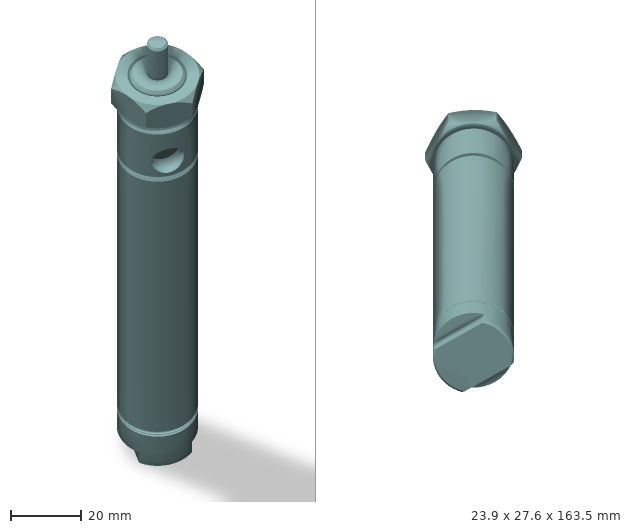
import cadquery as cq
import math

TOTAL_LENGTH = 163.5

BODY_RADIUS = 11.6
BODY_TOP = 138.0
BASE_CHAMFER = 0.7
SHOULDER_CHAMFER = 0.5

TOOTH_SIZE = 1.0
TEETH_PER_GROOVE = 2
FRONT_GROOVE_BOTTOM = 118.1
REAR_GROOVE_BOTTOM = 12.8

FLATS_ACROSS = 15.5
FLATS_HEIGHT = 4.9

PORT_RADIUS = 4.9
PORT_HEIGHT = 126.3
PORT_DEPTH = 5.7

NECK_RADIUS = 16.2 / 2
NECK_TOP = 151.0
NECK_CHAMFER = 1.0

NUT_ACROSS_FLATS = 23.9
NUT_BOTTOM = 140.5
NUT_THICKNESS = 9.7
NUT_MOUTH_CHAMFER = 0.5

ROD_RADIUS = 6.0 / 2
ROD_CHAMFER = 0.7
ROD_BOTTOM = FRONT_GROOVE_BOTTOM


def cylinder(radius, bottom, top):
    """Upright cylinder on the Z axis."""
    return cq.Workplane("XY").workplane(offset=bottom).circle(radius).extrude(top - bottom)


def tooth_cutter(ledge_height, slope_end_height):
    """Ring of triangular section, cut square at the ledge and running out at the slope end."""
    return (
        cq.Workplane("XZ")
        .moveTo(BODY_RADIUS, ledge_height)
        .lineTo(BODY_RADIUS - TOOTH_SIZE, ledge_height)
        .lineTo(BODY_RADIUS, slope_end_height)
        .close()
        .revolve(360, (0, 0, 0), (0, 1, 0))
    )


def port_cutter():
    """Blind hole along X, sunk into the +X side of the barrel."""
    return (
        cq.Workplane("YZ")
        .workplane(offset=BODY_RADIUS - PORT_DEPTH)
        .center(0, PORT_HEIGHT)
        .circle(PORT_RADIUS)
        .extrude(PORT_DEPTH)
    )


def make_housing():
    """Barrel with its threaded neck, grooves, foot flats, side port and rod bore."""
    barrel = cylinder(BODY_RADIUS, 0, BODY_TOP)
    barrel = barrel.faces("<Z").chamfer(BASE_CHAMFER).faces(">Z").chamfer(SHOULDER_CHAMFER)
    for tooth in range(TEETH_PER_GROOVE):
        front_bottom = FRONT_GROOVE_BOTTOM + tooth * TOOTH_SIZE
        rear_bottom = REAR_GROOVE_BOTTOM + tooth * TOOTH_SIZE
        barrel = barrel.cut(tooth_cutter(front_bottom + TOOTH_SIZE, front_bottom))
        barrel = barrel.cut(tooth_cutter(rear_bottom, rear_bottom + TOOTH_SIZE))

    foot_envelope = cq.Workplane("XY").box(
        2 * BODY_RADIUS, FLATS_ACROSS, FLATS_HEIGHT, centered=(True, True, False)
    )
    foot_waste = cylinder(2 * BODY_RADIUS, 0, FLATS_HEIGHT).cut(foot_envelope)

    neck = cylinder(NECK_RADIUS, BODY_TOP, NECK_TOP).faces(">Z").chamfer(NECK_CHAMFER)
    rod_bore = cylinder(ROD_RADIUS, ROD_BOTTOM, NECK_TOP)
    return barrel.cut(foot_waste).cut(port_cutter()).union(neck).cut(rod_bore)


def make_nut():
    """Hexagon nut with corners bevelled at 45 degrees at both ends and a hole chamfered at both mouths."""
    corner_radius = NUT_ACROSS_FLATS / 2 / math.cos(math.pi / 6)
    bevel = corner_radius - NUT_ACROSS_FLATS / 2
    nut_top = NUT_BOTTOM + NUT_THICKNESS

    hexagon = (
        cq.Workplane("XY")
        .workplane(offset=NUT_BOTTOM)
        .transformed(rotate=(0, 0, 30))
        .polygon(6, 2 * corner_radius)
        .extrude(NUT_THICKNESS)
    )
    bevel_envelope = cylinder(corner_radius, NUT_BOTTOM, nut_top)
    bevel_envelope = bevel_envelope.faces("<Z or >Z").chamfer(bevel)
    hole = cylinder(NECK_RADIUS, NUT_BOTTOM, nut_top)
    nut = hexagon.intersect(bevel_envelope).cut(hole)
    return nut.edges(cq.selectors.RadiusNthSelector(0)).chamfer(NUT_MOUTH_CHAMFER)


def make_rod():
    """Piston rod with a chamfered tip, seated in the housing bore."""
    return cylinder(ROD_RADIUS, ROD_BOTTOM, TOTAL_LENGTH).faces(">Z").chamfer(ROD_CHAMFER)


housing = make_housing()
nut = make_nut()
rod = make_rod()

result = cq.Compound.makeCompound([housing.val(), nut.val(), rod.val()])